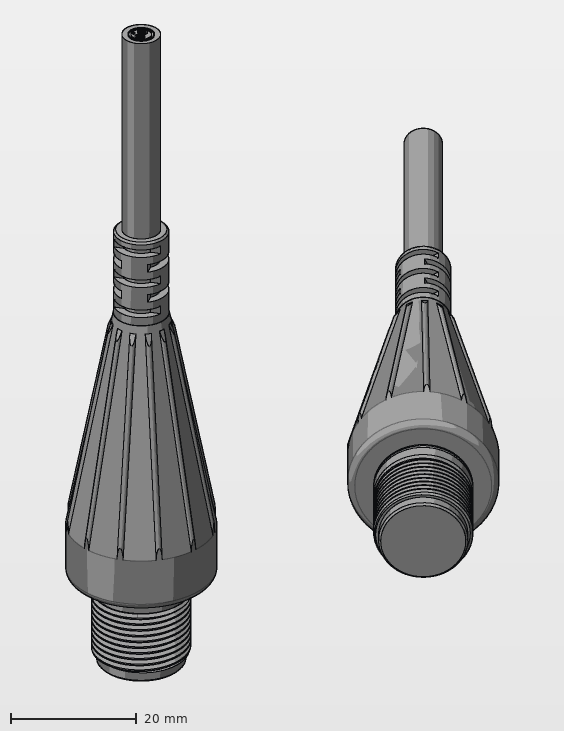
import cadquery as cq
import math

total_height = 114.9
eps = 0.06

nose_diameter = 14.2
nose_height = 2.0
nose_edge_chamfer = 0.3
thread_diameter = 15.9
thread_pitch = 1.06
thread_depth = 0.6
thread_groove_width = 0.9
thread_edge_chamfer = 0.3
thread_top = 13.1
run_out_middle = thread_top - thread_groove_width / 2
thread_base = 2.3
neck_groove_middle = 15.4
neck_groove_width = 0.6
neck_groove_depth = 0.3

grip_diameter = 24.1
grip_bottom = 16.0
grip_top = 25.0
grip_edge_fillet = 1.1
cone_top = 63.9
cone_top_diameter = 9.0
rib_count = 12
rib_width = 1.0
rib_height = 0.4
rib_top = 62.5
rib_ramp_steepness = 2.4

sleeve_diameter = 8.8
sleeve_top = 79.0
sleeve_edge_chamfer = 0.3
slot_count = 5
slot_height = 1.4
slot_pitch = 2.8
lowest_slot_middle = 66.0
slot_wall_offset = 2.2

cable_diameter = 6.2
cable_bottom = cone_top
shield_outer_diameter = 4.3
shield_inner_diameter = 4.0
core_diameter = 3.3
wire_diameter = 1.6
strand_diameter = 0.21
strand_ring_diameter = 0.9
strand_count = 8
drain_strand_diameter = 0.13
drain_strand_ring_diameter = 0.3
drain_strand_count = 6
drain_offset = 1.3
end_relief_depth = 0.1


def cylinder(diameter, bottom, top):
    return cq.Workplane("XY").workplane(offset=bottom).circle(diameter / 2).extrude(top - bottom)


def cone_radius(z):
    """Radius of the hood cone at height z, extended past its ends."""
    slope = (grip_diameter - cone_top_diameter) / 2 / (cone_top - grip_top)
    return cone_top_diameter / 2 + slope * (cone_top - z)


def hood_and_sleeve_blank():
    grip = cylinder(grip_diameter, grip_bottom, grip_top).faces("<Z").edges().fillet(grip_edge_fillet)
    cone = cq.Workplane("XZ").polyline([
        (0, grip_top),
        (grip_diameter / 2, grip_top),
        (cone_top_diameter / 2, cone_top),
        (0, cone_top),
    ]).close().revolve(360, (0, 0), (0, 1))
    sleeve = cylinder(sleeve_diameter, cone_top, sleeve_top)
    sleeve = sleeve.faces(">Z").edges().chamfer(sleeve_edge_chamfer)
    return grip.union(cone).union(sleeve)


def rib():
    """One round-crested rib along +X, running from the grip up the cone and ending in a ramp."""
    side_run = cone_top - grip_top
    side_rise = (grip_diameter - cone_top_diameter) / 2
    side_angle = math.atan2(side_rise, side_run)
    bar_radius = rib_width / 2
    axis_offset = (rib_height - bar_radius) / math.cos(side_angle)
    bar_bottom = grip_top - rib_width
    bar = (
        cq.Workplane("XY")
        .circle(bar_radius)
        .extrude(rib_top - bar_bottom + rib_width)
        .rotate((0, 0, 0), (0, 1, 0), -math.degrees(side_angle))
        .translate((cone_radius(bar_bottom) + axis_offset, 0, bar_bottom))
    )
    root = cone_top_diameter / 4
    ramp_top_radius = cone_radius(rib_top)
    ramp_bottom = rib_top - rib_width * rib_ramp_steepness
    outline = cq.Workplane("XZ").polyline([
        (root, grip_top),
        (grip_diameter / 2, grip_top),
        (grip_diameter / 2, ramp_bottom),
        (ramp_top_radius + rib_width, ramp_bottom),
        (ramp_top_radius, rib_top),
        (root, rib_top),
    ]).close().extrude(rib_width, both=True)
    return bar.intersect(outline).intersect(cylinder(grip_diameter, grip_top, cone_top))


def sleeve_slot(index):
    """Opposed pair of slots; even ones open toward -Y and +Y, odd ones toward -X and +X."""
    middle = lowest_slot_middle + index * slot_pitch
    side = sleeve_diameter + 2 * eps
    ring = cq.Workplane("XY").box(side, side, slot_height)
    web = cq.Workplane("XY").box(side, 2 * slot_wall_offset, slot_height)
    pair = ring.cut(web)
    if index % 2 == 1:
        pair = pair.rotate((0, 0, 0), (0, 0, 1), 90)
    return pair.translate((0, 0, middle))


def v_groove_profile(width, depth):
    """V section cut into the shank, with its middle at Z = 0."""
    outer = thread_diameter / 2 + eps
    return cq.Workplane("XZ").polyline([
        (thread_diameter / 2 - depth, 0),
        (outer, width / 2),
        (outer, -width / 2),
    ]).close()


def ring_groove(middle, width, depth):
    return v_groove_profile(width, depth).revolve(360, (0, 0), (0, 1)).translate((0, 0, middle))


def thread_groove():
    """Helical groove that runs out of the lower end and into the ring groove at the top."""
    start = thread_base - thread_pitch
    path = cq.Wire.makeHelix(thread_pitch, run_out_middle - start, thread_diameter / 2)
    profile = v_groove_profile(thread_groove_width, thread_depth)
    return profile.sweep(cq.Workplane(obj=path), isFrenet=True).translate((0, 0, start))


def connector_nose():
    shank = cylinder(thread_diameter, nose_height, grip_bottom)
    shank = shank.faces("<Z").edges().chamfer(thread_edge_chamfer)
    shank = shank.cut(thread_groove())
    shank = shank.cut(ring_groove(run_out_middle, thread_groove_width, thread_depth))
    shank = shank.cut(ring_groove(neck_groove_middle, neck_groove_width, neck_groove_depth))
    nose = cylinder(nose_diameter, 0, nose_height).faces("<Z").edges().chamfer(nose_edge_chamfer)
    return shank.union(nose)


def make_housing():
    body = hood_and_sleeve_blank()
    for i in range(rib_count):
        body = body.union(rib().rotate((0, 0, 0), (0, 0, 1), i * 360 / rib_count))
    for i in range(slot_count):
        body = body.cut(sleeve_slot(i))
    body = body.cut(cylinder(cable_diameter, cable_bottom, total_height))
    return body.union(connector_nose())


def end_disc(diameter):
    return cylinder(diameter, total_height - end_relief_depth, total_height)


def strand_bundle(diameter, ring_diameter, ring_count):
    """One middle strand and a ring of strands around it."""
    ring = (
        cq.Workplane("XY")
        .workplane(offset=total_height - end_relief_depth)
        .polarArray(ring_diameter / 2, 0, 360, ring_count)
        .circle(diameter / 2)
        .extrude(end_relief_depth)
    )
    return end_disc(diameter).union(ring)


def wire_end():
    """Insulated wire end with its copper strands set into it as shallow recesses."""
    return end_disc(wire_diameter).cut(strand_bundle(strand_diameter, strand_ring_diameter, strand_count))


def make_cable():
    cable = cylinder(cable_diameter, cable_bottom, total_height)
    cable = cable.cut(end_disc(shield_outer_diameter).cut(end_disc(shield_inner_diameter)))
    cable = cable.cut(end_disc(core_diameter))
    for side in (-1, 1):
        cable = cable.union(wire_end().translate((0, side * wire_diameter / 2, 0)))
    drain = strand_bundle(drain_strand_diameter, drain_strand_ring_diameter, drain_strand_count)
    return cable.union(drain.translate((-drain_offset, 0, 0)))


housing = make_housing()
cable = make_cable()
result = cq.Compound.makeCompound([housing.val(), cable.val()])